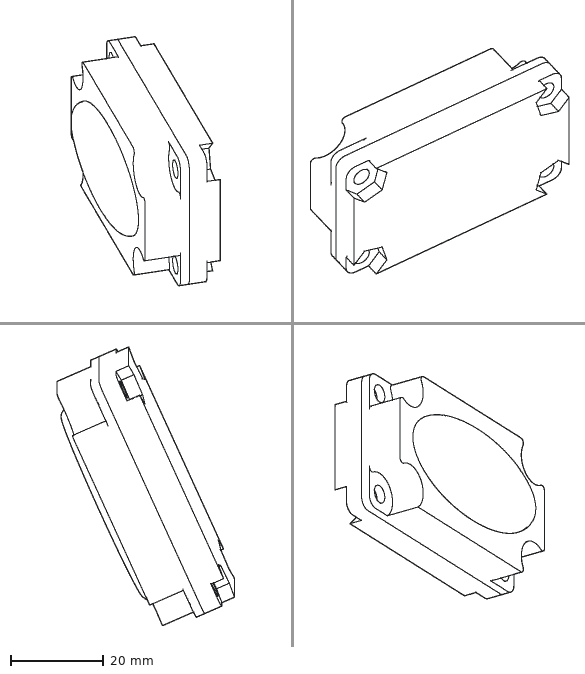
import cadquery as cq
import math

length = 56.0
height = 32.0
corner_radius = 2.4

base_depth = 7.0
flange_thickness = 2.0
housing_depth = 8.0
cover_back_y = -base_depth
flange_front_y = cover_back_y - flange_thickness
housing_front_y = flange_front_y - housing_depth

hole_inset = 4.0
hole_diameter = 4.0

recess_radius = 5.0
cusp_radius = 1.0
nut_across_flats = 8.2
nut_pocket_depth = 3.0

pad_half_length = 23.0
pad_half_height = 11.0
pad_thickness = 2.0
pad_edge_radius = 1.99

hole_x = length / 2 - hole_inset
hole_z = height / 2 - hole_inset
corners = [(sx, sz) for sx in (-1, 1) for sz in (-1, 1)]
hole_centres = [(sx * hole_x, sz * hole_z) for sx, sz in corners]


def plane_at(y):
    """XZ sketch plane at the given Y; extrusions from it grow toward -Y."""
    return cq.Workplane("XZ", origin=(0, y, 0))


def rounded_slab(back_y, depth):
    """Block with rounded corners and the four screw holes."""
    slab = plane_at(back_y).rect(length, height).extrude(depth).edges("|Y").fillet(corner_radius)
    holes = plane_at(back_y).pushPoints(hole_centres).circle(hole_diameter / 2).extrude(depth)
    return slab.cut(holes)


def corner_openings(back_y, depth):
    """Square blocks from each hole centre past the corner, opening a pocket to both side faces."""
    outer_corners = [(sx * length / 2, sz * height / 2) for sx, sz in corners]
    return plane_at(back_y).pushPoints(outer_corners).rect(2 * hole_inset, 2 * hole_inset).extrude(depth)


def nut_pocket(sx, sz):
    """Hexagonal pocket around a screw hole, with one vertex on the corner's diagonal."""
    circumdiameter = nut_across_flats / math.cos(math.pi / 6)
    vertex_angle = math.degrees(math.atan2(sz, sx))
    return (
        plane_at(0)
        .center(sx * hole_x, sz * hole_z)
        .transformed(rotate=(0, 0, vertex_angle))
        .polygon(6, circumdiameter)
        .extrude(nut_pocket_depth)
    )


def build_base():
    """Back half: a rounded slab whose back corners are cut away by the nut pockets."""
    base = rounded_slab(0, base_depth).cut(corner_openings(0, nut_pocket_depth))
    for sx, sz in corners:
        base = base.cut(nut_pocket(sx, sz))
    return base


def build_housing():
    """Front block of the cover, with a round recess in each corner and rounded cusps beside it."""
    housing = plane_at(flange_front_y).rect(length, height).extrude(housing_depth)
    recesses = plane_at(flange_front_y).pushPoints(hole_centres).circle(recess_radius).extrude(housing_depth)
    housing = housing.cut(recesses).cut(corner_openings(flange_front_y, housing_depth))

    sharp_cusp_x = -hole_x + math.sqrt(recess_radius**2 - hole_inset**2)
    middle_y = flange_front_y - housing_depth / 2
    sharp_cusp = cq.selectors.NearestToPointSelector((sharp_cusp_x, middle_y, -height / 2))
    rounded_cusps = cq.selectors.StringSyntaxSelector("|Y") - sharp_cusp
    return housing.edges(rounded_cusps).fillet(cusp_radius)


def build_pad():
    """Elliptical pad with a fully rounded front edge."""
    pad = plane_at(housing_front_y).ellipse(pad_half_length, pad_half_height).extrude(pad_thickness)
    return pad.faces("<Y").edges().fillet(pad_edge_radius)


def build_cover():
    """Front half: flange, recessed housing block and raised pad in one piece."""
    flange = rounded_slab(cover_back_y, flange_thickness)
    return flange.union(build_housing()).union(build_pad())


base = build_base()
cover = build_cover()

result = cq.Compound.makeCompound([base.solids().val(), cover.solids().val()])